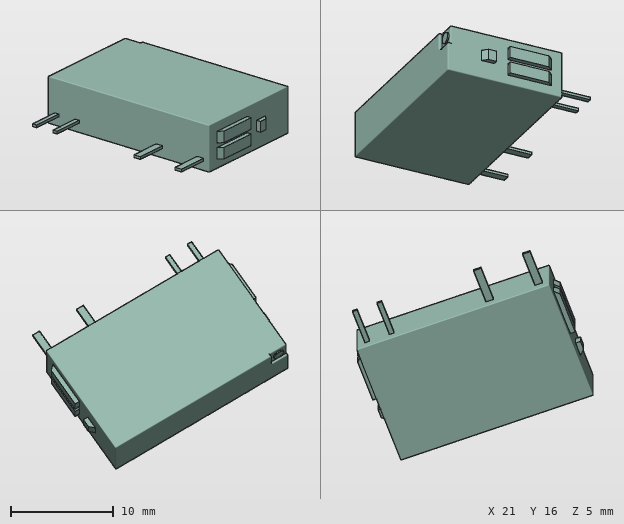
import cadquery as cq

length = 20.0
depth = 12.5
height = 5.0
edge_radius = 0.1
tolerance = 0.002
back = depth / 2

protrusion = (21 - length) / 2
latch_back_gap = 3.65
latch_size = 1.39
latch_height = 1.13
rail_back_gap = 6.53
rail_size = 4.77
rail_height = 1.22
rail_spacing = 1.72

pin_pitch = 2.55
pin_length = 16.0 - depth
pin_thickness = 0.3
pin_z = -1.3
coil_pin_width = 0.5
contact_pin_width = 0.8
pins = [
    (-3.5 * pin_pitch, coil_pin_width),
    (-2.5 * pin_pitch, coil_pin_width),
    (1.5 * pin_pitch, contact_pin_width),
    (3.5 * pin_pitch, contact_pin_width),
]

notch_size = 1.91
notch_depth = 0.3
notch_corner_radius = 0.3
marker_inset = 0.97
marker_radius = 0.57
marker_height = 0.15


def is_outside_edge(edge):
    """False only for the inside edges where the notch walls meet its floor."""
    middle = edge.Center()
    inside_notch_floor = (
        abs(middle.y - (back - notch_depth)) < tolerance
        and -length / 2 + tolerance < middle.x < -length / 2 + notch_size + tolerance
        and height / 2 - notch_size - tolerance < middle.z < height / 2 - tolerance
    )
    return not inside_notch_floor


def make_body():
    """Notched box with every outside edge rounded."""
    notch = (
        cq.Workplane("XY")
        .box(notch_size, notch_depth, notch_size, centered=False)
        .edges(">X and <Z")
        .fillet(notch_corner_radius)
        .translate((-length / 2, back - notch_depth, height / 2 - notch_size))
    )
    body = cq.Workplane("XY").box(length, depth, height).cut(notch)
    return body.edges().filter(is_outside_edge).fillet(edge_radius)


def make_marker():
    """Round boss standing on the notch floor."""
    return (
        cq.Workplane("XZ")
        .center(marker_inset - length / 2, height / 2 - marker_inset)
        .circle(marker_radius)
        .extrude(-marker_height)
        .translate((0, back - notch_depth, 0))
    )


def make_latch():
    """Left latch, with its 45 degree ramp facing the back."""
    y_back = back - latch_back_gap
    y_front = y_back - latch_size
    x_face = -length / 2
    outline = [
        (0, y_front),
        (x_face - protrusion, y_front),
        (x_face - protrusion, y_back - protrusion),
        (x_face, y_back),
        (0, y_back),
    ]
    return cq.Workplane("XY").polyline(outline).close().extrude(latch_height / 2, both=True)


def make_rail(z):
    """Left rail, with its 45 degree ramp facing the terminals."""
    y_back = back - rail_back_gap
    y_front = y_back - rail_size
    x_face = -length / 2
    outline = [
        (0, y_back),
        (x_face - protrusion, y_back),
        (x_face - protrusion, y_front + protrusion),
        (x_face, y_front),
        (0, y_front),
    ]
    rail = cq.Workplane("XY").polyline(outline).close().extrude(rail_height / 2, both=True)
    return rail.translate((0, 0, z))


def make_pin(x, width):
    """Flat terminal running from the middle of the body out through the front."""
    full_length = depth / 2 + pin_length
    pin = cq.Workplane("XY").box(width, full_length, pin_thickness)
    return pin.translate((x, -full_length / 2, pin_z))


result = make_body().union(make_marker())
for feature in (make_latch(), make_rail(rail_spacing / 2), make_rail(-rail_spacing / 2)):
    result = result.union(feature).union(feature.mirror("YZ"))
for pin_x, pin_width in pins:
    result = result.union(make_pin(pin_x, pin_width))